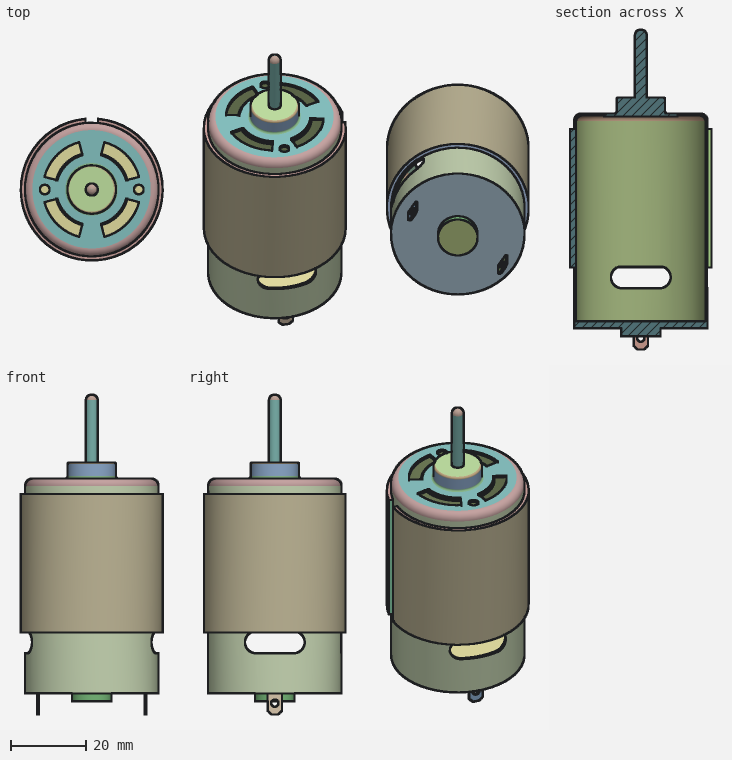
import cadquery as cq
import math

total_height = 85.2

can_radius = 17.8
can_bottom = 5.6
can_top = 62.9
can_wall = 0.6
can_floor = 2.0
can_edge_radius = 2.05

sleeve_radius = 18.9
sleeve_bottom = 21.8
sleeve_top = 58.8
sleeve_gap = 3.3

boss_radius = 6.5
boss_top = 67.1
boss_edge_radius = 0.5
seat_radius = 9.8
seat_depth = 0.25
shaft_radius = 1.6
shaft_tip_height = 1.5

rear_boss_radius = 5.3
rear_boss_bottom = 3.5

vent_inner_radius = 9.45
vent_outer_radius = 13.0
vent_sweep = 60.0
vent_count = 4
screw_hole_radius = 1.3
screw_hole_offset = 12.5

window_width = 15.85
window_height = 5.8
window_bottom = 16.4

terminal_offset = 14.3
terminal_thickness = 0.5
terminal_width = 3.8
terminal_chamfer = 1.0
terminal_hole_radius = 0.9
terminal_hole_height = 3.1

root_side_margin = 0.85
root_height_margin = 0.1


def cylinder(radius, bottom, top):
    return cq.Workplane("XY").workplane(offset=bottom).circle(radius).extrude(top - bottom)


def make_can():
    outside = cylinder(can_radius, can_bottom, can_top).faces(">Z").edges().fillet(can_edge_radius)
    inside = cylinder(can_radius - can_wall, can_bottom + can_floor, can_top - can_wall)
    inside = inside.faces(">Z").edges().fillet(can_edge_radius - can_wall)
    return outside.cut(inside)


def add_front_boss(body):
    """Add the front boss, rounded at its rim and blended into the can at its root."""
    body = body.union(cylinder(boss_radius, can_top, boss_top))
    body = body.faces(">Z").edges().fillet(boss_edge_radius)
    reach = boss_radius + root_side_margin
    root = cq.selectors.BoxSelector(
        (-reach, -reach, can_top - root_height_margin),
        (reach, reach, can_top + root_height_margin),
    )
    return body.edges(root).fillet(boss_edge_radius)


def make_windows():
    profile = cq.Workplane("YZ").center(0, window_bottom + window_height / 2)
    return profile.slot2D(window_width, window_height).extrude(can_radius, both=True)


def make_sleeve():
    ring = cylinder(sleeve_radius, sleeve_bottom, sleeve_top)
    ring = ring.cut(cylinder(can_radius, sleeve_bottom, sleeve_top))
    gap = cq.Workplane("XY").workplane(offset=sleeve_bottom)
    gap = gap.center(0, sleeve_radius / 2).rect(sleeve_gap, sleeve_radius)
    return ring.cut(gap.extrude(sleeve_top - sleeve_bottom))


def make_vent():
    """One arc-shaped opening through the front face, centred on +X."""

    def point(radius, degrees):
        angle = math.radians(degrees)
        return (radius * math.cos(angle), radius * math.sin(angle))

    half_sweep = vent_sweep / 2
    return (
        cq.Workplane("XY")
        .workplane(offset=can_top - can_wall)
        .moveTo(*point(vent_inner_radius, -half_sweep))
        .lineTo(*point(vent_outer_radius, -half_sweep))
        .threePointArc((vent_outer_radius, 0), point(vent_outer_radius, half_sweep))
        .lineTo(*point(vent_inner_radius, half_sweep))
        .threePointArc((vent_inner_radius, 0), point(vent_inner_radius, -half_sweep))
        .close()
        .extrude(can_wall)
    )


def make_screw_holes():
    face = cq.Workplane("XY").workplane(offset=can_top - can_wall)
    centers = [(-screw_hole_offset, 0), (screw_hole_offset, 0)]
    return face.pushPoints(centers).circle(screw_hole_radius).extrude(can_wall)


def make_seat():
    seat_top = can_top - can_wall
    return cylinder(seat_radius, seat_top - seat_depth, seat_top)


def make_shaft():
    shaft = cylinder(shaft_radius, boss_top, total_height)
    return shaft.faces(">Z").edges().fillet(shaft_tip_height)


def make_terminal(side):
    """Flat tab with a wire hole, rooted in the can floor on the given X side."""
    x = side * terminal_offset
    height = can_bottom + can_floor
    tab = cq.Workplane("XY").center(x, 0).rect(terminal_thickness, terminal_width).extrude(height)
    tab = tab.faces("<Z").edges("|X").chamfer(terminal_chamfer)
    hole = cq.Workplane("YZ", origin=(x, 0, terminal_hole_height)).circle(terminal_hole_radius)
    return tab.cut(hole.extrude(terminal_thickness, both=True))


result = add_front_boss(make_can())

result = result.cut(make_windows()).cut(make_screw_holes())
for index in range(vent_count):
    direction = (index + 0.5) * 360 / vent_count
    result = result.cut(make_vent().rotate((0, 0, 0), (0, 0, 1), direction))

result = result.union(make_seat()).union(make_sleeve()).union(make_shaft())
result = result.union(cylinder(rear_boss_radius, rear_boss_bottom, can_bottom))
for side in (-1, 1):
    result = result.union(make_terminal(side))